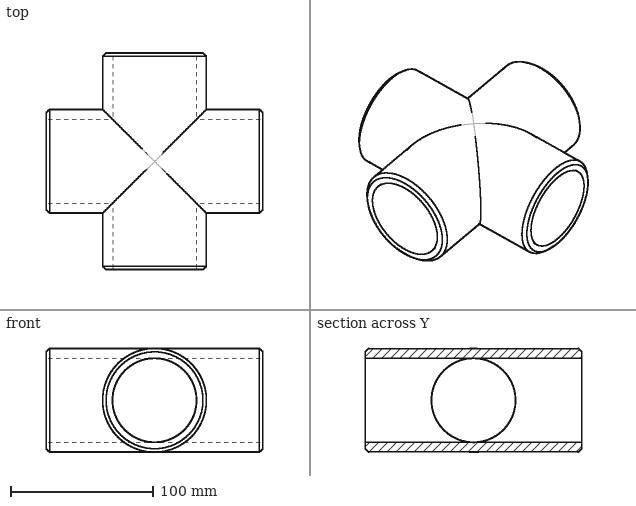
import cadquery as cq

overall_length = 152.4
outer_diameter = 73.0
bore_diameter = 59.0
end_chamfer = 2.5


def centred_rod(plane, diameter):
    """Full-length cylinder through the origin, along the plane's normal."""
    return cq.Workplane(plane).circle(diameter / 2).extrude(overall_length / 2, both=True)


def run_outside(plane, end_faces):
    """Outside of one straight run, with both end rims chamfered."""
    return centred_rod(plane, outer_diameter).faces(end_faces).chamfer(end_chamfer)


body = run_outside("YZ", "|X").union(run_outside("XZ", "|Y"))

for run_plane in ("YZ", "XZ"):
    body = body.cut(centred_rod(run_plane, bore_diameter))

result = body